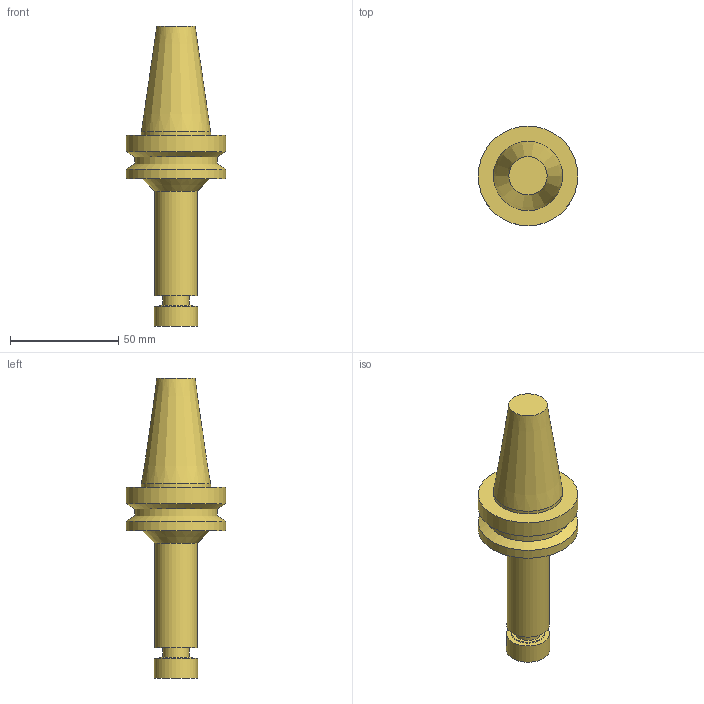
import cadquery as cq
import math


gauge_length = 48.4
gauge_diameter = 31.75
taper_overrun = 0.5
taper_ratio = 7 / 24
flange_gap = 2.0

flange_diameter = 46.0
flange_thickness = 20.0
groove_center_depth = 13.6
groove_floor_diameter = 38.0
groove_floor_width = 3.4
groove_wall_angle = 60.0

overall_projection = 90.0
cone_top_diameter = 31.3
cone_wall_angle = 45.0
shaft_diameter = 19.5
neck_diameter = 12.0
neck_length = 4.8
nut_diameter = 20.0
nut_length = 9.2
nut_rim_base_diameter = 15.5
nut_rim_height = 0.3
nut_rim_wall_angle = 45.0

taper_top_radius = (gauge_diameter - taper_ratio * gauge_length) / 2
taper_base_radius = (gauge_diameter + taper_ratio * taper_overrun) / 2
flange_radius = flange_diameter / 2
groove_floor_radius = groove_floor_diameter / 2
cone_top_radius = cone_top_diameter / 2
shaft_radius = shaft_diameter / 2
neck_radius = neck_diameter / 2
nut_radius = nut_diameter / 2
nut_rim_base_radius = nut_rim_base_diameter / 2
nut_rim_top_radius = nut_rim_base_radius - nut_rim_height * math.tan(math.radians(nut_rim_wall_angle))

groove_wall_height = (flange_radius - groove_floor_radius) / math.tan(math.radians(groove_wall_angle))
cone_height = (cone_top_radius - shaft_radius) / math.tan(math.radians(cone_wall_angle))

taper_base_z = -taper_overrun
flange_top_z = -flange_gap
groove_floor_top_z = -groove_center_depth + groove_floor_width / 2
groove_top_z = groove_floor_top_z + groove_wall_height
groove_floor_bottom_z = groove_floor_top_z - groove_floor_width
groove_bottom_z = groove_floor_bottom_z - groove_wall_height
flange_bottom_z = flange_top_z - flange_thickness
cone_bottom_z = flange_bottom_z - cone_height
nut_bottom_z = -overall_projection
nut_top_z = nut_bottom_z + nut_length
nut_rim_z = nut_top_z + nut_rim_height
neck_top_z = nut_top_z + neck_length


def revolve_profile(points):
    """Revolve a half profile of (radius, z) points a full turn about Z."""
    return cq.Workplane("XZ").polyline(points).close().revolve(360, (0, 0, 0), (0, 1, 0))


def make_shank():
    """Taper and the short collar under it."""
    return revolve_profile([
        (0, gauge_length),
        (taper_top_radius, gauge_length),
        (taper_base_radius, taper_base_z),
        (taper_base_radius, flange_top_z),
        (0, flange_top_z),
    ])


def make_flange():
    """Gripper flange with a V-groove around its rim."""
    return revolve_profile([
        (0, flange_top_z),
        (flange_radius, flange_top_z),
        (flange_radius, groove_top_z),
        (groove_floor_radius, groove_floor_top_z),
        (groove_floor_radius, groove_floor_bottom_z),
        (flange_radius, groove_bottom_z),
        (flange_radius, flange_bottom_z),
        (0, flange_bottom_z),
    ])


def make_chuck_body():
    """Cone, straight shaft, narrow neck and collet nut."""
    return revolve_profile([
        (0, flange_bottom_z),
        (cone_top_radius, flange_bottom_z),
        (shaft_radius, cone_bottom_z),
        (shaft_radius, neck_top_z),
        (neck_radius, neck_top_z),
        (neck_radius, nut_rim_z),
        (nut_rim_top_radius, nut_rim_z),
        (nut_rim_base_radius, nut_top_z),
        (nut_radius, nut_top_z),
        (nut_radius, nut_bottom_z),
        (0, nut_bottom_z),
    ])


result = make_shank().union(make_flange()).union(make_chuck_body())